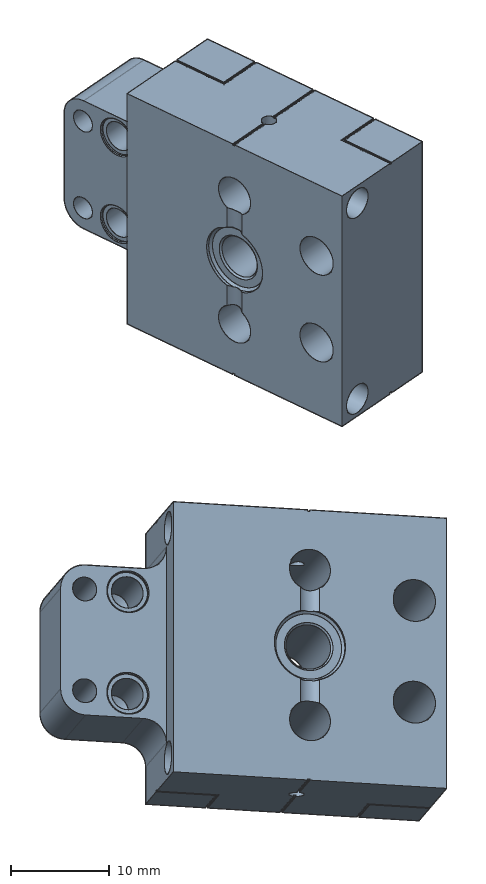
import cadquery as cq
import math

block_size = 28.45
block_depth = 12.7
block_left = -block_size / 2
half_size = block_size / 2
front_y = -block_depth

tab_length = 11.0
tab_depth = 9.525
tab_half_height = 7.9
tab_corner_radius = 2.6
tab_root_radius = 2.4
tab_left = block_left - tab_length
tab_front_y = -tab_depth

row_z = 5.35
tab_pin_diameter = 2.5
tab_pin_inset = 2.5
tab_pin_x = tab_left + tab_pin_inset
tapped_hole_inset = 7.0
tapped_hole_x = tab_left + tapped_hole_inset
tap_drill_diameter = 3.3
tap_step_diameter = 4.2
tap_mouth_diameter = 4.4
tap_step_depth = 0.3
tap_drill_depth = 7.0
drill_tip_angle = 118
block_bolt_diameter = 4.4
block_bolt_x = 10.86

bore_diameter = 4.65
bore_mouth_diameter = 5.05
seat_diameter = 7.4
seat_floor_diameter = 6.85
seat_depth = 0.6
port_diameter = 4.25
port_z = 7.94
channel_width = 1.95
channel_depth = 0.4

side_hole_diameter = 3.4
side_hole_y = -10.29
side_hole_z = 12.08

groove_width = 0.254
groove_depth = 0.127
centre_groove_left = -groove_width
centre_groove_x = centre_groove_left / 2
corner_pad_width = 6.35
corner_pad_depth = 4.85
vent_diameter = 1.55
vent_y = -7.11


def rod_y(x, z, diameter, start_y, length):
    """Cylinder running from start_y toward +Y."""
    circle = cq.Workplane("XZ", origin=(x, start_y, z)).circle(diameter / 2)
    return circle.extrude(-length)


def cone_y(x, z, start_diameter, end_diameter, start_y):
    """45 degree cone narrowing toward +Y."""
    height = (start_diameter - end_diameter) / 2
    return cq.Workplane(cq.Solid.makeCone(
        start_diameter / 2, end_diameter / 2, height,
        pnt=cq.Vector(x, start_y, z), dir=cq.Vector(0, 1, 0),
    ))


def box_between(x_range, y_range, z_range):
    """Box spanning the given (low, high) range along each axis."""
    size = [high - low for low, high in (x_range, y_range, z_range)]
    corner = (x_range[0], y_range[0], z_range[0])
    return cq.Workplane("XY").box(*size, centered=False).translate(corner)


def make_block():
    return box_between((-half_size, half_size), (front_y, 0), (-half_size, half_size))


def make_tab():
    """Tab with rounded outer corners and concave fillets where it meets the block."""
    root_half_height = tab_half_height + tab_root_radius
    root_start_x = block_left - tab_root_radius
    blank = box_between(
        (tab_left, block_left), (tab_front_y, 0), (-root_half_height, root_half_height)
    )
    for side in (-1, 1):
        near, far = sorted((side * tab_half_height, side * root_half_height))
        blank = blank.cut(box_between((tab_left, root_start_x), (tab_front_y, 0), (near, far)))
        blank = blank.cut(rod_y(
            root_start_x, side * root_half_height, 2 * tab_root_radius, tab_front_y, tab_depth
        ))
    return blank.edges("|Y and <X").fillet(tab_corner_radius)


def make_tapped_hole(z):
    """Blind drilled hole with a shallow wider step and a chamfered mouth."""
    tip_height = tap_drill_diameter / 2 / math.tan(math.radians(drill_tip_angle / 2))
    tip = cq.Workplane(cq.Solid.makeCone(
        tap_drill_diameter / 2, 0, tip_height,
        pnt=cq.Vector(tapped_hole_x, tab_front_y + tap_drill_depth, z), dir=cq.Vector(0, 1, 0),
    ))
    drill = rod_y(tapped_hole_x, z, tap_drill_diameter, tab_front_y, tap_drill_depth)
    step = rod_y(tapped_hole_x, z, tap_step_diameter, tab_front_y, tap_step_depth)
    mouth = cone_y(tapped_hole_x, z, tap_mouth_diameter, tap_step_diameter, tab_front_y)
    return drill.union(tip).union(step).union(mouth)


def make_bore():
    """Through bore with a chamfered rim, sunk in a round seat with a bevelled floor corner."""
    seat_floor_y = front_y + seat_depth
    bore = rod_y(0, 0, bore_diameter, front_y, block_depth)
    rim = cone_y(0, 0, bore_mouth_diameter, bore_diameter, seat_floor_y)
    bevel_height = (seat_diameter - seat_floor_diameter) / 2
    seat_wall = rod_y(0, 0, seat_diameter, front_y, seat_depth - bevel_height)
    bevel = cone_y(0, 0, seat_diameter, seat_floor_diameter, seat_floor_y - bevel_height)
    return bore.union(rim).union(seat_wall).union(bevel)


def make_channel():
    """Round-bottomed channel in the front face joining the two ports to the seat."""
    half_width = channel_width / 2
    radius = (half_width ** 2 + channel_depth ** 2) / (2 * channel_depth)
    return (
        cq.Workplane("XY", origin=(0, front_y + channel_depth - radius, -port_z))
        .circle(radius).extrude(2 * port_z)
    )


def make_face_marks(side):
    """Centre groove and two corner outlines in the top (side 1) or bottom (side -1) face."""
    z_range = sorted((side * half_size, side * (half_size - groove_depth)))
    pad_edge_x = half_size - corner_pad_width
    leg_inner_x = pad_edge_x - groove_width / 2
    leg_outer_x = pad_edge_x + groove_width / 2
    pad_y_range = (-corner_pad_depth - groove_width, -corner_pad_depth)
    marks = box_between((centre_groove_left, 0), (front_y, 0), z_range)
    for hand in (-1, 1):
        across = sorted((hand * leg_inner_x, hand * half_size))
        along = sorted((hand * leg_inner_x, hand * leg_outer_x))
        marks = marks.union(box_between(across, pad_y_range, z_range))
        marks = marks.union(box_between(along, (pad_y_range[0], 0), z_range))
    return marks


def make_vent(side):
    """Vertical drilling from the top or bottom face down to the nearest port."""
    vent = cq.Workplane("XY", origin=(centre_groove_x, vent_y, side * port_z))
    return vent.circle(vent_diameter / 2).extrude(side * (half_size - port_z))


def make_side_hole(z):
    hole = cq.Workplane("YZ", origin=(block_left, side_hole_y, z))
    return hole.circle(side_hole_diameter / 2).extrude(block_size)


def make_cross_holes(side):
    """Plain through holes along Y on the upper (side 1) or lower (side -1) half."""
    pin_hole = rod_y(tab_pin_x, side * row_z, tab_pin_diameter, tab_front_y, tab_depth)
    bolt_hole = rod_y(block_bolt_x, side * row_z, block_bolt_diameter, front_y, block_depth)
    port = rod_y(0, side * port_z, port_diameter, front_y, block_depth)
    return pin_hole.union(bolt_hole).union(port)


result = make_block().union(make_tab())
result = result.cut(make_bore()).cut(make_channel())

for side in (-1, 1):
    result = result.cut(make_cross_holes(side))
    result = result.cut(make_tapped_hole(side * row_z))
    result = result.cut(make_side_hole(side * side_hole_z))
    result = result.cut(make_face_marks(side))
    result = result.cut(make_vent(side))